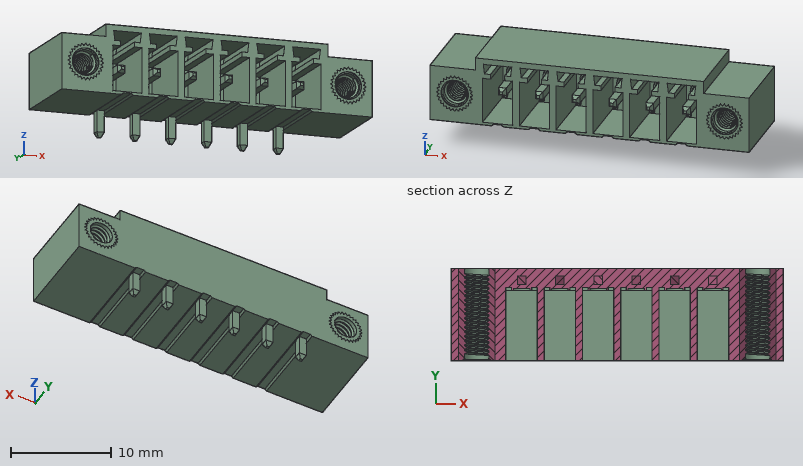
import cadquery as cq
import math


depth = 9.21
total_width = 33.05
flange_height = 5.79
body_width = 23.64
body_height = 7.07

contact_count = 6
contact_pitch = 3.81
contact_height = 3.07
contact_positions = [contact_pitch * (i - (contact_count - 1) / 2) for i in range(contact_count)]

socket_depth = 7.0
socket_width = 3.1
socket_floor = 0.3
ledge_bottom = 4.97
ledge_top = 5.47
ledge_gap = 1.45
socket_ceiling = 6.47
key_bottom_width = 2.7
key_top_width = 2.95

side_recess_depth = 0.3
side_recess_floor = 0.4
web_end_width = 2.04
web_waist_width = 1.5
web_waist_bottom = 2.15
web_waist_top = 3.93
web_ring_diameter = 2.2
ring_recess_diameter = 1.8
ring_recess_depth = 0.2

groove_depth = 0.18
groove_bottom_width = 1.2
groove_top_width = 0.8

pin_size = 0.8
pin_front = 1.3
overall_height = 9.61
pin_bottom = body_height - overall_height
leg_to_back = 1.2
leg_y = depth - leg_to_back
tip_width = 0.3
contact_tip_length = 0.5
leg_tip_length = 0.5

insert_spacing = 27.94
insert_height = 3.03
knurl_teeth = 28
knurl_outer_diameter = 3.74
knurl_root_diameter = 3.3
counterbore_diameter = 2.8
counterbore_depth = 0.15
thread_major_diameter = 2.5
thread_minor_diameter = 2.05
thread_pitch = 0.45
ridge_root_width = 0.4
ridge_crest_width = 0.08
ridge_rooting = 0.05
insert_positions = [-insert_spacing / 2, insert_spacing / 2]

front_plane = cq.Workplane("XZ")


def mirrored(half_outline):
    """Close an outline given by its right half, listed from bottom to top, about X = 0."""
    return half_outline + [(-x, z) for x, z in reversed(half_outline)]


def extrude_back(outline, start, length):
    """Extrude an XZ outline toward +Y, beginning at Y = start."""
    return front_plane.workplane(offset=-start).polyline(outline).close().extrude(-length)


def cylinder_back(diameter, height, start, length):
    """Cylinder along +Y at X = 0, beginning at Y = start."""
    return front_plane.workplane(offset=-start).center(0, height).circle(diameter / 2).extrude(-length)


def make_socket():
    profile = mirrored([
        (socket_width / 2, socket_floor),
        (socket_width / 2, ledge_bottom),
        (ledge_gap / 2, ledge_bottom),
        (ledge_gap / 2, ledge_top),
        (key_bottom_width / 2, ledge_top),
        (key_top_width / 2, socket_ceiling),
    ])
    return extrude_back(profile, 0, socket_depth)


def make_side_recesses():
    """Two pockets in the socket's back wall, leaving a waisted web with a ring around the pin."""
    pocket = mirrored([(socket_width / 2, side_recess_floor), (socket_width / 2, ledge_bottom)])
    web = mirrored([
        (web_end_width / 2, side_recess_floor),
        (web_waist_width / 2, web_waist_bottom),
        (web_waist_width / 2, web_waist_top),
        (web_end_width / 2, ledge_bottom),
    ])
    return (
        extrude_back(pocket, socket_depth, side_recess_depth)
        .cut(extrude_back(web, socket_depth, side_recess_depth))
        .cut(cylinder_back(web_ring_diameter, contact_height, socket_depth, side_recess_depth))
    )


def make_groove():
    profile = mirrored([(groove_bottom_width / 2, 0), (groove_top_width / 2, groove_depth)])
    return extrude_back(profile, 0, depth)


def make_pin():
    """Square pin that runs back from the socket, turns down and ends in a tapered solder tip."""
    shank_start = pin_front + contact_tip_length
    leg_end = pin_bottom + leg_tip_length
    leg_top = contact_height + pin_size / 2
    shank = (
        front_plane.workplane(offset=-shank_start)
        .center(0, contact_height)
        .rect(pin_size, pin_size)
        .extrude(-(leg_y + pin_size / 2 - shank_start))
    )
    contact_tip = (
        front_plane.workplane(offset=-shank_start)
        .center(0, contact_height)
        .rect(pin_size, pin_size)
        .workplane(offset=contact_tip_length)
        .rect(tip_width, tip_width)
        .loft(ruled=True)
    )
    leg_plane = cq.Workplane("XY", origin=(0, leg_y, leg_end))
    leg = leg_plane.rect(pin_size, pin_size).extrude(leg_top - leg_end)
    leg_tip = (
        leg_plane.rect(pin_size, pin_size)
        .workplane(offset=-leg_tip_length)
        .rect(tip_width, tip_width)
        .loft(ruled=True)
    )
    return shank.union(contact_tip).union(leg).union(leg_tip)


def make_knurl():
    """Solid knurled cylinder along +Y, with one tooth pointing straight up."""
    points = []
    for step in range(2 * knurl_teeth):
        angle = math.pi / 2 + step * math.pi / knurl_teeth
        diameter = knurl_outer_diameter if step % 2 == 0 else knurl_root_diameter
        points.append((diameter / 2 * math.cos(angle), insert_height + diameter / 2 * math.sin(angle)))
    return extrude_back(points, 0, depth)


def make_thread_ridge():
    """Helical ridge inside the bore, rooted in the wall and ending short of both faces."""
    minor_radius = thread_minor_diameter / 2
    base_radius = thread_major_diameter / 2 + ridge_rooting
    length = depth - counterbore_depth - 2 * thread_pitch
    helix = cq.Wire.makeHelix(thread_pitch, length, minor_radius)
    ridge = (
        cq.Workplane("XZ")
        .polyline([
            (base_radius, -ridge_root_width / 2),
            (minor_radius, -ridge_crest_width / 2),
            (minor_radius, ridge_crest_width / 2),
            (base_radius, ridge_root_width / 2),
        ])
        .close()
        .sweep(cq.Workplane(obj=helix), isFrenet=True)
    )
    return ridge.rotate((0, 0, 0), (1, 0, 0), 90).translate((0, depth - thread_pitch, insert_height))


def make_insert():
    """Knurled bush with a plain counterbore at the front and a threaded sleeve behind it."""
    sleeve_length = depth - counterbore_depth
    threaded_sleeve = (
        cylinder_back(counterbore_diameter, insert_height, counterbore_depth, sleeve_length)
        .cut(cylinder_back(thread_major_diameter, insert_height, counterbore_depth, sleeve_length))
        .union(make_thread_ridge())
    )
    sleeve_seat = cylinder_back(counterbore_diameter, insert_height, 0, depth)
    return make_knurl().cut(sleeve_seat).union(threaded_sleeve, glue=True)


def make_housing(pin, knurl):
    """Block with flanges, emptied by the sockets and by the seats of the pins and inserts."""
    housing = (
        cq.Workplane("XY")
        .box(total_width, depth, flange_height, centered=(True, False, False))
        .union(cq.Workplane("XY").box(body_width, depth, body_height, centered=(True, False, False)))
    )
    ring_recess = cylinder_back(ring_recess_diameter, contact_height, socket_depth, ring_recess_depth)
    contact_space = make_socket().union(make_side_recesses()).union(ring_recess).union(pin)
    for x in contact_positions:
        housing = housing.cut(contact_space.translate((x, 0, 0)))
        housing = housing.cut(make_groove().translate((x, 0, 0)))
    for x in insert_positions:
        housing = housing.cut(knurl.translate((x, 0, 0)))
    return housing


pin = make_pin()
insert = make_insert()
housing = make_housing(pin, make_knurl())
pins = [pin.translate((x, 0, 0)) for x in contact_positions]
inserts = [insert.translate((x, 0, 0)) for x in insert_positions]

result = cq.Compound.makeCompound(
    [housing.val()] + [body.val() for body in pins] + [body.val() for body in inserts]
)